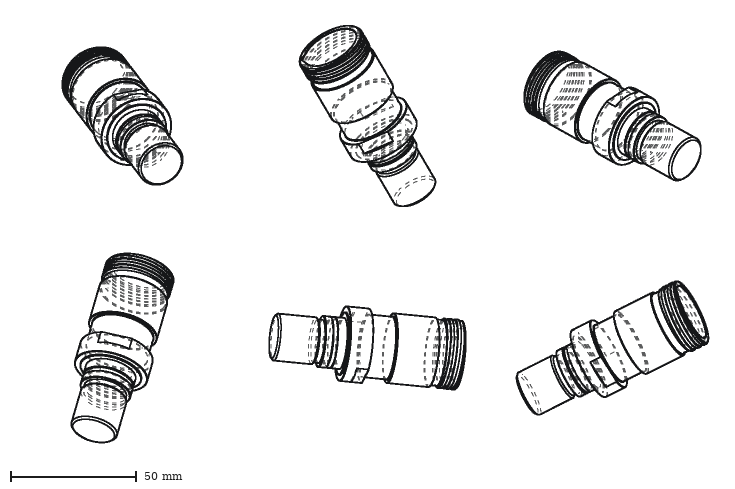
import cadquery as cq
import math


thread_end = 7.8
grip_start = 10.8
grip_end = 28.0
collar_start = 38.0
flat_length = 4.9
collar_end = 47.25
lip_end = 47.7
groove_start = 51.35
groove_end = 53.4
sleeve_end = 56.4
spigot_start = 58.45
total_length = 75.4

thread_root_radius = 27.0 / 2
thread_crest_radius = 28.0 / 2
neck_radius = 26.5 / 2
grip_radius = 28.0 / 2
waist_radius = 25.2 / 2
collar_radius = 29.9 / 2
lip_radius = 25.2 / 2
sleeve_radius = 20.57 / 2
undercut_radius = 17.4 / 2
spigot_radius = 18.9 / 2

edge_chamfer = 0.2
lip_chamfer = 0.2
spigot_chamfer = 0.85
waist_cone_length = 0.4
waist_cone_rise = 0.15

thread_pitch = 2.79
groove_width_at_root = 1.25
groove_width_at_crest = 1.5
groove_overshoot = 0.5
groove_phase_x = 2.7
groove_turns = 4
groove_start_x = groove_phase_x - 2 * thread_pitch

flat_distance = 13.5

recess_radius = 11.5
recess_depth = 0.2
key_tip_radius = 12.6
key_half_width = 3.5
key_tip_fillet = 1.3

oring_section_radius = 0.79
oring_center_x = 52.16
oring_center_radius = sleeve_radius - oring_section_radius
groove_floor_radius = 18.7 / 2


def turned_blank():
    """Revolve the stepped outline about the X axis."""
    thread_lead_in = thread_crest_radius - thread_root_radius
    thread_run_out = thread_crest_radius - neck_radius
    spigot_cone = spigot_radius - undercut_radius
    outline = [
        (0, 0),
        (0, thread_root_radius),
        (thread_lead_in, thread_crest_radius),
        (thread_end - thread_run_out, thread_crest_radius),
        (thread_end, neck_radius),
        (grip_start, neck_radius),
        (grip_start, grip_radius - edge_chamfer),
        (grip_start + edge_chamfer, grip_radius),
        (grip_end - edge_chamfer, grip_radius),
        (grip_end, grip_radius - edge_chamfer),
        (grip_end, waist_radius + waist_cone_rise),
        (grip_end + waist_cone_length, waist_radius),
        (collar_start - waist_cone_length, waist_radius),
        (collar_start, waist_radius + waist_cone_rise),
        (collar_start, collar_radius - edge_chamfer),
        (collar_start + edge_chamfer, collar_radius),
        (collar_end - edge_chamfer, collar_radius),
        (collar_end, collar_radius - edge_chamfer),
        (collar_end, lip_radius),
        (lip_end - lip_chamfer, lip_radius),
        (lip_end, lip_radius - lip_chamfer),
        (lip_end, sleeve_radius),
        (groove_start, sleeve_radius),
        (groove_start, groove_floor_radius),
        (groove_end, groove_floor_radius),
        (groove_end, sleeve_radius),
        (sleeve_end - edge_chamfer, sleeve_radius),
        (sleeve_end, sleeve_radius - edge_chamfer),
        (sleeve_end, undercut_radius),
        (spigot_start, undercut_radius),
        (spigot_start + spigot_cone, spigot_radius),
        (total_length - spigot_chamfer, spigot_radius),
        (total_length, spigot_radius - spigot_chamfer),
        (total_length, 0),
    ]
    return cq.Workplane("XY").polyline(outline).close().revolve(360, (0, 0, 0), (1, 0, 0))


def thread_groove_turn():
    """First full turn of the trapezoidal left-hand groove, built along Z and then laid along X."""
    outer_radius = thread_crest_radius + groove_overshoot
    thread_depth = thread_crest_radius - thread_root_radius
    flank_slope = (groove_width_at_crest - groove_width_at_root) / thread_depth
    half_root = groove_width_at_root / 2
    half_outer = half_root + flank_slope * (outer_radius - thread_root_radius) / 2
    helix = cq.Wire.makeHelix(thread_pitch, thread_pitch, thread_root_radius, lefthand=True)
    section = (
        cq.Workplane("XZ")
        .polyline([
            (thread_root_radius, -half_root),
            (outer_radius, -half_outer),
            (outer_radius, half_outer),
            (thread_root_radius, half_root),
        ])
        .close()
    )
    groove = section.sweep(cq.Workplane(obj=helix), isFrenet=True)
    groove = groove.rotate((0, 0, 0), (0, 1, 0), 90).rotate((0, 0, 0), (1, 0, 0), -90)
    return groove.translate((groove_start_x, 0, 0))


def wrench_flats():
    """Two blocks that leave flats above and below the axis on the front part of the collar."""
    block_height = collar_radius
    block = cq.Workplane("XY").box(
        flat_length, 2 * collar_radius, block_height, centered=(False, True, False)
    )
    upper = block.translate((collar_start, 0, flat_distance))
    lower = block.translate((collar_start, 0, -flat_distance - block_height))
    return upper.union(lower)


def keyed_recess():
    """Shallow round recess with a rounded V-shaped key on the +Y side and 45-degree sloping walls."""
    corner_y = math.sqrt(recess_radius**2 - key_half_width**2)
    tip_center_y = key_tip_radius - key_tip_fillet
    corner_distance = math.hypot(key_half_width, tip_center_y - corner_y)
    corner_angle = math.atan2(key_half_width, corner_y - tip_center_y)
    tangent_angle = corner_angle - math.acos(key_tip_fillet / corner_distance)
    tangent_y = tip_center_y + key_tip_fillet * math.cos(tangent_angle)
    tangent_z = key_tip_fillet * math.sin(tangent_angle)
    return (
        cq.Workplane("YZ", origin=(recess_depth, 0, 0))
        .moveTo(corner_y, key_half_width)
        .threePointArc((-recess_radius, 0), (corner_y, -key_half_width))
        .lineTo(tangent_y, -tangent_z)
        .threePointArc((key_tip_radius, 0), (tangent_y, tangent_z))
        .close()
        .extrude(-recess_depth, taper=-45)
    )


def make_housing():
    housing = turned_blank().cut(wrench_flats()).cut(keyed_recess())
    groove_turn = thread_groove_turn()
    for turn in range(groove_turns):
        housing = housing.cut(groove_turn.translate((turn * thread_pitch, 0, 0)))
    return housing


def make_oring():
    """Torus level with the sleeve, pressed flat where it sits on the groove floor."""
    torus = (
        cq.Workplane("XY")
        .center(oring_center_x, oring_center_radius)
        .circle(oring_section_radius)
        .revolve(360, (-1, -oring_center_radius, 0), (1, -oring_center_radius, 0))
    )
    floor_core = cq.Workplane("YZ", origin=(groove_start, 0, 0)).circle(groove_floor_radius)
    return torus.cut(floor_core.extrude(groove_end - groove_start))


housing = make_housing()
oring = make_oring()

result = cq.Compound.makeCompound([housing.val(), oring.val()])